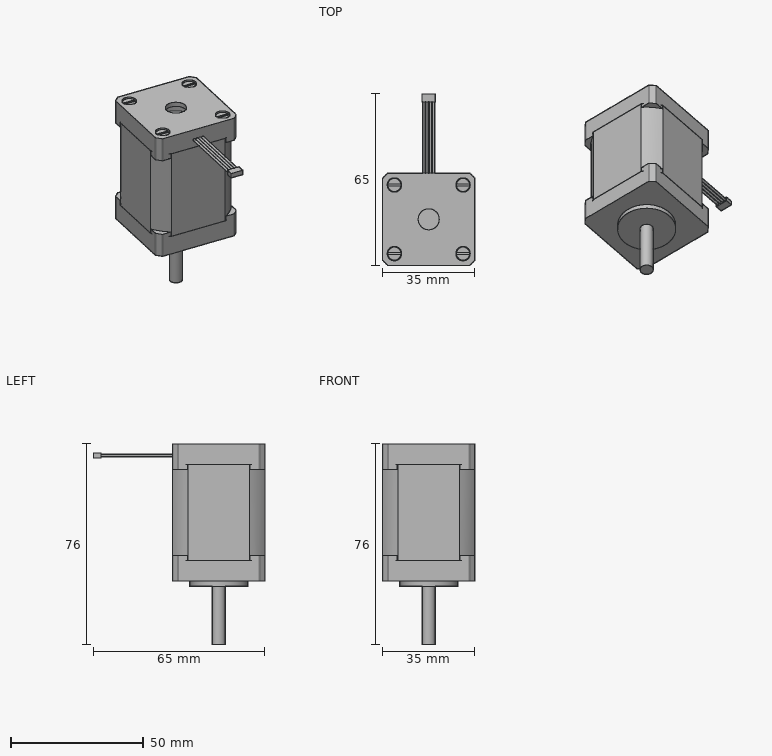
import cadquery as cq


frame_width = 35.0
corner_chamfer = 2.0
corner_rounding = 0.5
body_length = 52.0
cover_height = 9.7

stator_diameter = 42.0
socket_depth = 2.0
socket_clearance = 0.175
socket_diameter = stator_diameter + 2 * socket_clearance
stator_bottom = cover_height - socket_depth
stator_top = body_length - stator_bottom

pilot_diameter = 22.05
pilot_height = 2.0
shaft_diameter = 5.0
overall_length = 76
shaft_tip = body_length - overall_length

rear_hole_diameter = 8.0
rear_wall = 1.8
cavity_diameter = 21.0

screw_pitch = 26.0
screw_hole_diameter = 5.5
screw_diameter = 5.0
screw_hole_depth = 3.0
screw_recess = 0.5
slot_width = 0.75
slot_depth = 0.75

wire_count = 4
wire_diameter = 1.0
wire_pitch = 1.2
cable_length = 29.95
cable_depth = 4.4
connector_width = 5.1
connector_length = 3.0
connector_height = 2.0

screw_positions = [
    (x_side * screw_pitch / 2, y_side * screw_pitch / 2)
    for x_side in (-1, 1)
    for y_side in (-1, 1)
]


def cylinder(diameter, bottom, top):
    """Cylinder on the motor axis between two heights."""
    return cq.Workplane("XY").workplane(offset=bottom).circle(diameter / 2).extrude(top - bottom)


def cover_block(bottom):
    """Square cover block with chamfered corners whose edges are rounded."""
    block = (
        cq.Workplane("XY")
        .workplane(offset=bottom)
        .rect(frame_width, frame_width)
        .extrude(cover_height)
    )
    return block.edges("|Z").chamfer(corner_chamfer).edges("|Z").fillet(corner_rounding)


def make_stator():
    """Cylinder cut by the four sides of the square frame."""
    square = (
        cq.Workplane("XY")
        .workplane(offset=stator_bottom)
        .rect(frame_width, frame_width)
        .extrude(stator_top - stator_bottom)
    )
    return square.intersect(cylinder(stator_diameter, stator_bottom, stator_top))


def make_front_cover():
    """Front cover with the stator socket, the pilot boss and the shaft hole."""
    cover = cover_block(0).cut(cylinder(socket_diameter, stator_bottom, cover_height))
    cover = cover.union(cylinder(pilot_diameter, -pilot_height, 0))
    return cover.cut(cylinder(shaft_diameter, -pilot_height, stator_bottom))


def make_rear_cover():
    """Rear cover with the stator socket, the inner cavity, the round opening and the screw holes."""
    cover_bottom = body_length - cover_height
    cavity_top = body_length - rear_wall
    cover = cover_block(cover_bottom).cut(cylinder(socket_diameter, cover_bottom, stator_top))
    cover = cover.cut(cylinder(cavity_diameter, stator_top, cavity_top))
    cover = cover.cut(cylinder(rear_hole_diameter, cavity_top, body_length))
    screw_holes = (
        cq.Workplane("XY")
        .workplane(offset=body_length)
        .pushPoints(screw_positions)
        .circle(screw_hole_diameter / 2)
        .extrude(-screw_hole_depth)
    )
    return cover.cut(screw_holes)


def make_shaft():
    """Output shaft running from the stator through the front cover."""
    return cylinder(shaft_diameter, shaft_tip, stator_bottom)


def make_screw(x, y):
    """Slotted screw standing on the floor of its hole, with the slot along X."""
    screw_height = screw_hole_depth - screw_recess
    head_top = body_length - screw_recess
    screw = (
        cq.Workplane("XY")
        .workplane(offset=head_top)
        .center(x, y)
        .circle(screw_diameter / 2)
        .extrude(-screw_height)
    )
    slot = (
        cq.Workplane("XY")
        .workplane(offset=head_top)
        .center(x, y)
        .rect(screw_hole_diameter, slot_width)
        .extrude(-slot_depth)
    )
    return screw.cut(slot)


def make_cable():
    """Row of parallel wires from the rear cover to a rectangular connector."""
    cable_height = body_length - cable_depth
    wire_start = frame_width / 2
    connector_start = wire_start + cable_length - connector_length
    cable = cq.Workplane("XY").box(
        connector_width, connector_length, connector_height, centered=(True, False, True)
    )
    cable = cable.translate((0, connector_start, cable_height))
    for index in range(wire_count):
        wire_x = (index - (wire_count - 1) / 2) * wire_pitch
        wire = (
            cq.Workplane("XZ", origin=(wire_x, wire_start, cable_height))
            .circle(wire_diameter / 2)
            .extrude(wire_start - connector_start)
        )
        cable = cable.union(wire)
    return cable


stator = make_stator()
front_cover = make_front_cover()
rear_cover = make_rear_cover()
shaft = make_shaft()
cable = make_cable()
screws = [make_screw(x, y) for x, y in screw_positions]

result = cq.Compound.makeCompound(
    [
        stator.val(),
        front_cover.val(),
        rear_cover.val(),
        shaft.val(),
        cable.val(),
        *[screw.val() for screw in screws],
    ]
)